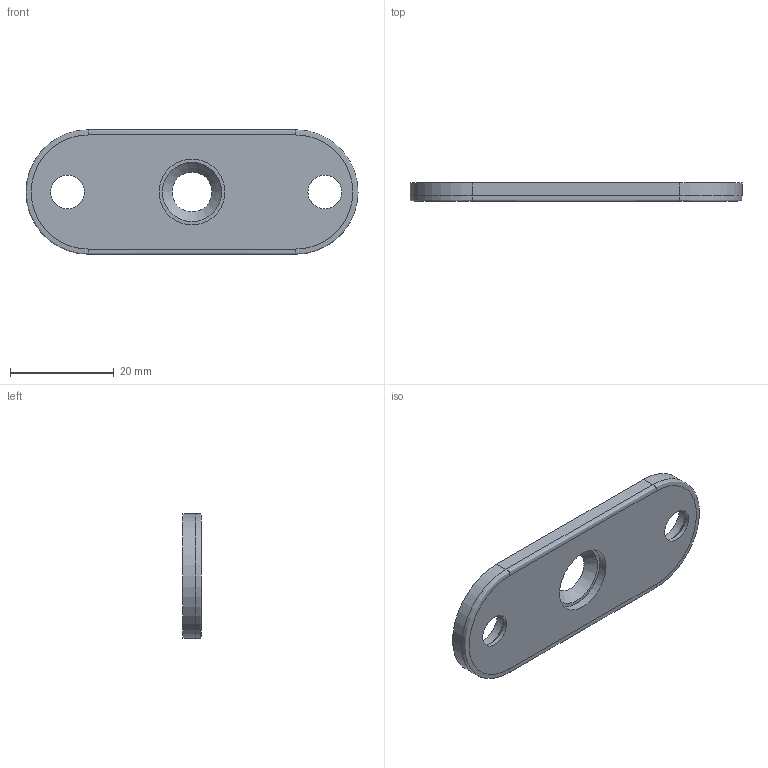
import cadquery as cq

length = 64.0
height = 24.0
thickness = 3.5
end_radius = height / 2
end_center_x = length / 2 - end_radius
front_y = -thickness / 2
back_y = thickness / 2

rim_blend = 1.0
rim_handle = 0.1 * rim_blend

center_bore_diameter = 12.7
cone_front_diameter = 11.4
cone_back_diameter = 7.7
center_cone_depth = (cone_front_diameter - cone_back_diameter) / 2
center_bore_depth = thickness - center_cone_depth

lip_diameter = 6.5
lip_depth = 0.8
back_bore_diameter = 8.5
mounting_cone_depth = (back_bore_diameter - lip_diameter) / 2
mounting_hole_xs = (-24.0, 25.6)


def half_section(plane):
    """Half of the plate's cross-section, from its mid-line out to the rim."""
    flat_edge = end_radius - rim_blend
    blend_end_y = front_y + rim_blend
    return (
        cq.Workplane(plane)
        .moveTo(0, back_y)
        .lineTo(0, front_y)
        .lineTo(flat_edge, front_y)
        .bezier(
            [
                (flat_edge, front_y),
                (end_radius - rim_handle, front_y),
                (end_radius, front_y),
                (end_radius, front_y + rim_handle),
                (end_radius, blend_end_y),
            ]
        )
        .lineTo(end_radius, back_y)
        .close()
    )


def make_plate():
    """Straight middle with a half-round revolved end on each side."""
    section_plane = cq.Plane(origin=(end_center_x, 0, 0), xDir=(0, 0, 1), normal=(-1, 0, 0))
    upper_half = half_section(section_plane).extrude(2 * end_center_x)
    middle = upper_half.union(upper_half.mirror("XY"))
    right_end = half_section(section_plane).revolve(180, (0, 0, 0), (0, 1, 0))
    return middle.union(right_end).union(right_end.mirror("YZ"))


def revolved_cutter(profile):
    """Void turned about the Y axis from (radius, y) points, first and last on the axis."""
    return cq.Workplane("XY").polyline(profile).close().revolve(360, (0, 0, 0), (0, 1, 0))


def make_center_cutter():
    """Counterbore in front, then a cone narrowing to the back face."""
    cone_start_y = front_y + center_bore_depth
    return revolved_cutter(
        [
            (0, front_y),
            (center_bore_diameter / 2, front_y),
            (center_bore_diameter / 2, cone_start_y),
            (cone_front_diameter / 2, cone_start_y),
            (cone_back_diameter / 2, back_y),
            (0, back_y),
        ]
    )


def make_mounting_cutter():
    """Lip hole in front, then a cone widening into the larger bore at the back."""
    lip_end_y = front_y + lip_depth
    return revolved_cutter(
        [
            (0, front_y),
            (lip_diameter / 2, front_y),
            (lip_diameter / 2, lip_end_y),
            (back_bore_diameter / 2, lip_end_y + mounting_cone_depth),
            (back_bore_diameter / 2, back_y),
            (0, back_y),
        ]
    )


result = make_plate().cut(make_center_cutter())
for hole_x in mounting_hole_xs:
    result = result.cut(make_mounting_cutter().translate((hole_x, 0, 0)))